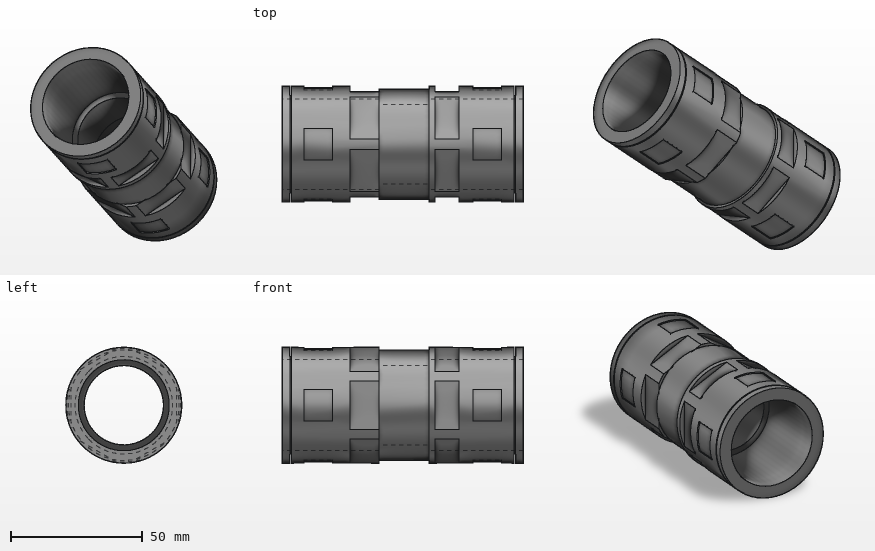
import cadquery as cq

LENGTH = 91.5
BODY_DIAMETER = 44.0
THROUGH_BORE_DIAMETER = 30.0

LIP_WIDTH = 3.0
GROOVE_WIDTH = 0.5
GROOVE_DIAMETER = 37.0

WINDOW_OFFSET = 8.4
WINDOW_LENGTH = 10.75
WINDOW_WIDTH = 11.9
WINDOW_FLOOR_DIAMETER = 43.0

WAIST_START = 36.8
WAIST_LENGTH = 18.9
WAIST_DIAMETER = 41.9

SOCKET_DIAMETER = 34.5

HEX_SIDES = 6
HEX_ACROSS_FLATS = 40.0
LEFT_HEX_START = 25.8
RIGHT_HEX_START = 58.0
RIGHT_HEX_LENGTH = 9.0

HALF_LENGTH = LENGTH / 2
WAIST_END = WAIST_START + WAIST_LENGTH
LEFT_HEX_LENGTH = WAIST_START - LEFT_HEX_START


def cylinder(start, length, diameter):
    """Solid cylinder along X; start is measured from the -X end."""
    plane = cq.Workplane("YZ", origin=(start - HALF_LENGTH, 0, 0))
    return plane.circle(diameter / 2).extrude(length)


def ring(start, length, inner_diameter):
    """Ring from the inner diameter out to the body surface."""
    return cylinder(start, length, BODY_DIAMETER).cut(cylinder(start, length, inner_diameter))


def flats(start, length):
    """Material outside a hexagon whose flats include the +Y and -Y sides."""
    hexagon = (
        cq.Workplane("YZ", origin=(start - HALF_LENGTH, 0, 0))
        .polygon(HEX_SIDES, HEX_ACROSS_FLATS, circumscribed=True)
        .extrude(length)
    )
    return cylinder(start, length, BODY_DIAMETER).cut(hexagon)


def windows(start):
    """Four curved pockets centred on the +Y, -Y, +Z and -Z sides."""
    shell = ring(start, WINDOW_LENGTH, WINDOW_FLOOR_DIAMETER)
    middle = start + WINDOW_LENGTH / 2 - HALF_LENGTH
    bars = (
        cq.Workplane("XY")
        .box(WINDOW_LENGTH, BODY_DIAMETER, WINDOW_WIDTH)
        .union(cq.Workplane("XY").box(WINDOW_LENGTH, WINDOW_WIDTH, BODY_DIAMETER))
        .translate((middle, 0, 0))
    )
    return shell.intersect(bars)


def build():
    body = cylinder(0, LENGTH, BODY_DIAMETER)
    body = body.cut(ring(WAIST_START, WAIST_LENGTH, WAIST_DIAMETER))
    body = body.cut(flats(LEFT_HEX_START, LEFT_HEX_LENGTH))
    body = body.cut(flats(RIGHT_HEX_START, RIGHT_HEX_LENGTH))
    for start in (LIP_WIDTH, LENGTH - LIP_WIDTH - GROOVE_WIDTH):
        body = body.cut(ring(start, GROOVE_WIDTH, GROOVE_DIAMETER))
    for start in (WINDOW_OFFSET, LENGTH - WINDOW_OFFSET - WINDOW_LENGTH):
        body = body.cut(windows(start))
    body = body.cut(cylinder(0, WAIST_START, SOCKET_DIAMETER))
    body = body.cut(cylinder(WAIST_END, LENGTH - WAIST_END, SOCKET_DIAMETER))
    return body.cut(cylinder(0, LENGTH, THROUGH_BORE_DIAMETER))


result = build()